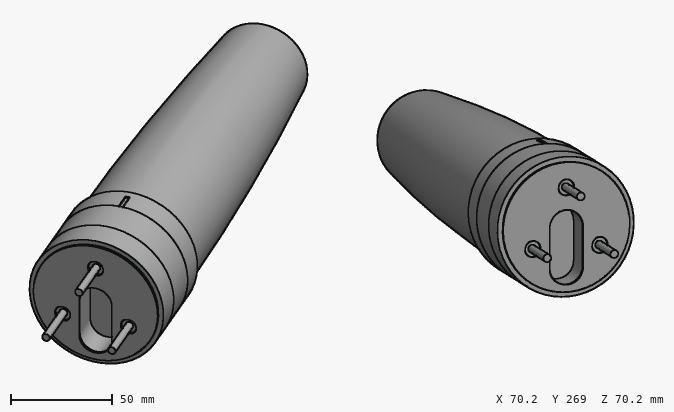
import cadquery as cq
import math

TIP_Y = 269.0

PLATE_FRONT_Y = 23.5
BASE_FRONT_Y = 24.7
BASE_BACK_Y = 39.3
MIDDLE_BACK_Y = 59.0
COLLAR_BACK_Y = 74.0
TAPER_START_Y = 75.5
TAPER_END_Y = 257.2
DOME_EDGE_Y = 260.5

HOUSING_DIAMETER = 70.2
HOUSING_RADIUS = HOUSING_DIAMETER / 2
PLATE_RADIUS = 32.5
COVER_RADIUS = 32.3
TAPER_END_RADIUS = 24.0
DOME_EDGE_RADIUS = 21.3

COLLAR_FILLET = 1.5
NOTCH_WIDTH = 2.2
NOTCH_DEPTH = 0.8
NOTCH_LENGTH = 9.7
SLOT_WIDTH = 17.2
SLOT_CENTER_SPACING = 20.2
PIN_COUNT = 3
PIN_RADIUS = 2.0
PIN_CIRCLE_RADIUS = 20.0
PIN_CLEARANCE_RADIUS = 4.0


def disc(radius, start_y, end_y, x=0, z=0):
    """Round cylinder along Y between two stations."""
    axis_start = cq.Vector(x, start_y, z)
    return cq.Workplane(cq.Solid.makeCylinder(radius, end_y - start_y, axis_start, cq.Vector(0, 1, 0)))


def cable_slot(start_y, end_y):
    """Upright slot whose upper round end is centred on the lamp axis."""
    middle = cq.Workplane("XY").box(SLOT_WIDTH, end_y - start_y, SLOT_CENTER_SPACING)
    middle = middle.translate((0, (start_y + end_y) / 2, -SLOT_CENTER_SPACING / 2))
    upper_end = disc(SLOT_WIDTH / 2, start_y, end_y)
    lower_end = disc(SLOT_WIDTH / 2, start_y, end_y, z=-SLOT_CENTER_SPACING)
    return middle.union(upper_end).union(lower_end)


def pin_centers():
    """X and Z of each pin, equally spaced with the first one at the top."""
    angles = [math.pi / 2 + 2 * math.pi * i / PIN_COUNT for i in range(PIN_COUNT)]
    return [(PIN_CIRCLE_RADIUS * math.cos(a), PIN_CIRCLE_RADIUS * math.sin(a)) for a in angles]


def taper_point(y):
    """Point on the arc that leaves the straight foot of the cover tangentially."""
    length = TAPER_END_Y - TAPER_START_Y
    inset = COVER_RADIUS - TAPER_END_RADIUS
    arc_radius = (length**2 + inset**2) / (2 * inset)
    arc_center = COVER_RADIUS - arc_radius
    return (arc_center + math.sqrt(arc_radius**2 - (y - TAPER_START_Y)**2), y)


def dome_point(radius):
    """Point on the spherical dome at a given distance from the axis."""
    height = TIP_Y - DOME_EDGE_Y
    sphere_radius = (DOME_EDGE_RADIUS**2 + height**2) / (2 * height)
    return (radius, TIP_Y - sphere_radius + math.sqrt(sphere_radius**2 - radius**2))


def make_cover():
    """Tapered cover with a domed tip; its foot passes through the collar and its seam is on top."""
    return (
        cq.Workplane("XY")
        .moveTo(0, MIDDLE_BACK_Y)
        .lineTo(COVER_RADIUS, MIDDLE_BACK_Y)
        .lineTo(COVER_RADIUS, TAPER_START_Y)
        .threePointArc(taper_point((TAPER_START_Y + TAPER_END_Y) / 2), (TAPER_END_RADIUS, TAPER_END_Y))
        .tangentArcPoint((DOME_EDGE_RADIUS, DOME_EDGE_Y), relative=False)
        .threePointArc(dome_point(DOME_EDGE_RADIUS / 2), (0, TIP_Y))
        .close()
        .revolve(360, (0, 0, 0), (0, 1, 0))
        .rotate((0, 0, 0), (0, 1, 0), -90)
    )


def make_collar():
    """Ring around the cover foot, with a rounded back rim and a marking notch on top."""
    collar = disc(HOUSING_RADIUS, MIDDLE_BACK_Y, COLLAR_BACK_Y).faces(">Y").edges().fillet(COLLAR_FILLET)
    collar = collar.cut(disc(COVER_RADIUS, MIDDLE_BACK_Y, COLLAR_BACK_Y))
    notch = cq.Workplane("XY").box(NOTCH_WIDTH, NOTCH_LENGTH, 2 * NOTCH_DEPTH)
    notch = notch.translate((0, MIDDLE_BACK_Y + NOTCH_LENGTH / 2, HOUSING_RADIUS))
    return collar.cut(notch)


def make_middle():
    """Plain disc that closes the back of the base."""
    return disc(HOUSING_RADIUS, BASE_BACK_Y, MIDDLE_BACK_Y)


def make_base():
    """Base disc with the cable slot and fitted pin holes through it."""
    base = disc(HOUSING_RADIUS, BASE_FRONT_Y, BASE_BACK_Y).cut(cable_slot(BASE_FRONT_Y, BASE_BACK_Y))
    for x, z in pin_centers():
        base = base.cut(disc(PIN_RADIUS, BASE_FRONT_Y, BASE_BACK_Y, x, z))
    return base


def make_plate():
    """Thin end plate with the cable slot and a clearance hole around each pin."""
    plate = disc(PLATE_RADIUS, PLATE_FRONT_Y, BASE_FRONT_Y).cut(cable_slot(PLATE_FRONT_Y, BASE_FRONT_Y))
    for x, z in pin_centers():
        plate = plate.cut(disc(PIN_CLEARANCE_RADIUS, PLATE_FRONT_Y, BASE_FRONT_Y, x, z))
    return plate


def make_pin(x, z):
    """Round pin reaching through the base to the middle disc."""
    return disc(PIN_RADIUS, 0, BASE_BACK_Y, x, z)


cover = make_cover()
collar = make_collar()
middle = make_middle()
base = make_base()
plate = make_plate()
pins = [make_pin(x, z) for x, z in pin_centers()]

result = cq.Compound.makeCompound(
    [cover.val(), collar.val(), middle.val(), base.val(), plate.val(), *[pin.val() for pin in pins]]
)